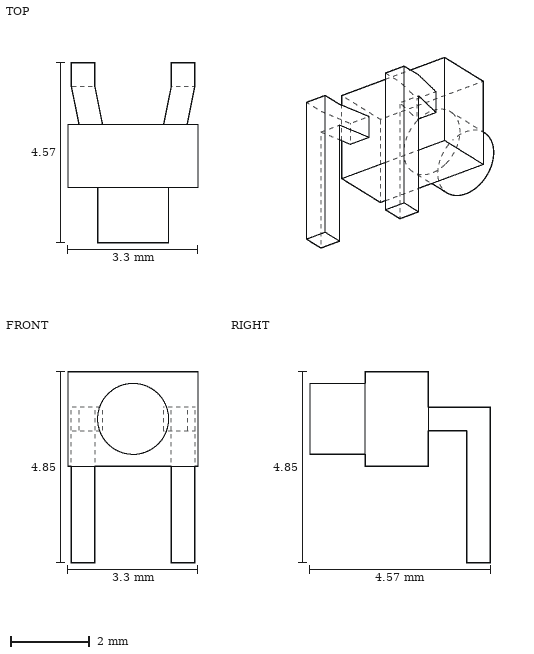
import cadquery as cq

total_height = 4.85
total_depth = 4.57
body_width = 3.3
body_height = 2.4
body_depth = 1.6
button_diameter = 1.8
button_length = 1.4
leg_size = 0.6
leg_outer_x = 1.565
leg_inward_shift = 0.195

body_back_y = body_depth
leg_back_y = total_depth - button_length
leg_front_y = leg_back_y - leg_size
leg_bottom_z = body_height / 2 - total_height
leg_top_z = leg_size / 2


def make_body():
    body = cq.Workplane("XY").box(body_width, body_depth, body_height)
    return body.translate((0, body_depth / 2, 0))


def make_button():
    return cq.Workplane("XZ").circle(button_diameter / 2).extrude(button_length)


def make_leg():
    """Leg on the +X side: cranked arm out of the body, then straight down."""
    leg_inner_x = leg_outer_x - leg_size
    arm = (
        cq.Workplane("XY")
        .workplane(offset=-leg_size / 2)
        .moveTo(leg_outer_x - leg_inward_shift, body_back_y)
        .lineTo(leg_outer_x, leg_front_y)
        .lineTo(leg_outer_x, leg_back_y)
        .lineTo(leg_inner_x, leg_back_y)
        .lineTo(leg_inner_x, leg_front_y)
        .lineTo(leg_inner_x - leg_inward_shift, body_back_y)
        .close()
        .extrude(leg_size)
    )
    post = cq.Workplane("XY").box(
        leg_size, leg_size, leg_top_z - leg_bottom_z, centered=False
    )
    return arm.union(post.translate((leg_inner_x, leg_front_y, leg_bottom_z)))


right_leg = make_leg()
left_leg = right_leg.mirror("YZ")

result = make_body().union(make_button()).union(right_leg).union(left_leg)